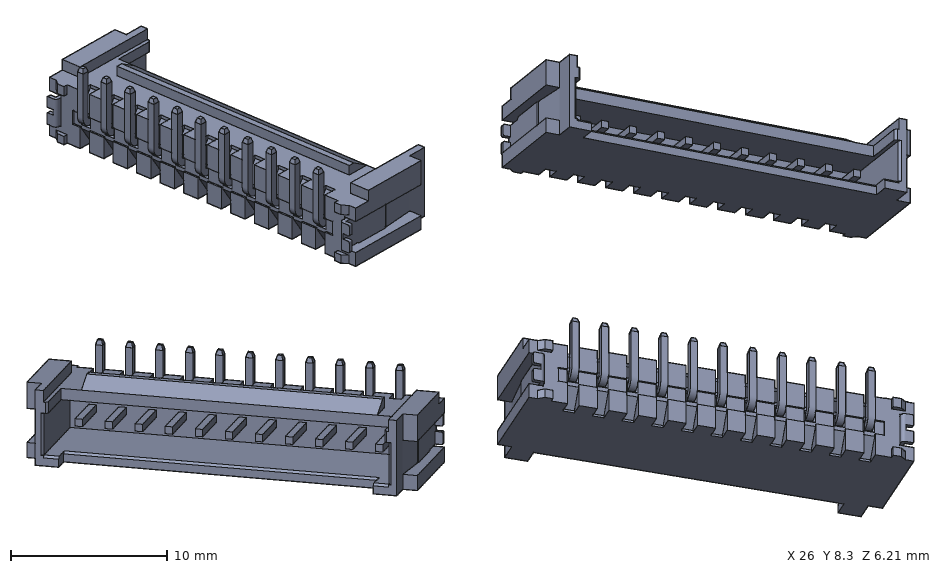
import cadquery as cq

HALF_LENGTH = 13.0
DEPTH = 7.85
ROOF_TOP = 4.3
ROOF_DEPTH = 4.7
CHEEK_HALF = 12.05
CHANNEL_HALF = 12.27
CAVITY_HALF = 11.5
CAVITY_FRONT = 1.55
CAVITY_FLOOR = 0.7
CAVITY_TOP = 3.54
MOUTH_HALF = 11.2
MOUTH_CHAMFER = 0.15
FLOOR_NOTCH_HALF = 10.48
FLOOR_NOTCH_FRONT = 6.65

RAIL_BACK = 6.4
LOWER_RAIL_TOP = 1.01
UPPER_RAIL_BOTTOM = 3.3
CAP_TOP = 5.07
CAP_FRONT = 1.25

RIDGE_HALF = 9.85
RIDGE_TOP = 5.0
RIDGE_FRONT = 3.0
RIDGE_CREST_BACK = 3.43

FOOT_OUTER = 12.43
FOOT_INNER = CAVITY_HALF
FOOT_REACH = 0.3
LOWER_FOOT_TOP = 0.62
UPPER_FOOT_BOTTOM = 3.6

GROOVE_HALF = 11.02
GROOVE_BOTTOM = 1.55
GROOVE_TOP = 2.57
GROOVE_DEPTH = 0.13
SLOT_WIDTH = 0.78
SLOT_DEPTH = 1.0
LOWER_SLOT_TOP = 1.43
UPPER_SLOT_BOTTOM = 2.73
LOWER_SLOT_STRAIGHT = 0.15
UPPER_SLOT_STRAIGHT = 0.23
FUNNEL_BOTTOM = 1.72
FUNNEL_TOP = 2.5
FUNNEL_DEPTH = 0.15

PIN_COUNT = 11
PIN_PITCH = 26 / 13
PIN_SIZE = 0.5
PIN_FRONT = -0.45
PIN_BACK = 4.78
PIN_BOTTOM = 1.87
PIN_TOP = 6.21
PIN_BEND_RADIUS = 0.73
PIN_TIP_HEIGHT = 0.3
PIN_TIP_INSET = 0.1

CLIP_THICKNESS = 0.29
CLIP_INNER = CHEEK_HALF
CLIP_FLANGE_HALF = 12.85
CLIP_BACK = 3.7
CLIP_POCKET_BACK = 3.8
CLIP_WIDE_FRONT = 1.12
CLIP_BOTTOM = 1.1
CLIP_TOP = 3.15
CLIP_BEVEL = 0.15
CLIP_NOTCH_BOTTOM = 1.95
CLIP_NOTCH_TOP = 2.35
CLIP_CORNER = 0.1
CLIP_BEND_RADIUS = 0.25


def box(x_range, y_range, z_range):
    """Axis-aligned box between the given limits."""
    (x0, x1), (y0, y1), (z0, z1) = x_range, y_range, z_range
    return cq.Workplane("XY").box(x1 - x0, y1 - y0, z1 - z0, centered=False).translate((x0, y0, z0))


def symmetric_box(half_x, y_range, z_range):
    return box((-half_x, half_x), y_range, z_range)


def extrude_along_x(points, x_center, width):
    """Prism of a (y, z) outline centred on x_center."""
    plane = cq.Workplane("YZ", origin=(x_center - width / 2, 0, 0))
    return plane.polyline(points).close().extrude(width)


def both_ends(solid):
    return solid.union(solid.mirror("YZ"))


def make_housing():
    body = symmetric_box(CHEEK_HALF, (0, DEPTH), (0, ROOF_TOP))
    end_x = (CAVITY_HALF, HALF_LENGTH)
    rails = box(end_x, (0, RAIL_BACK), (0, LOWER_RAIL_TOP))
    rails = rails.union(box(end_x, (0, RAIL_BACK), (UPPER_RAIL_BOTTOM, ROOF_TOP)))
    rails = rails.union(box(end_x, (CAP_FRONT, RAIL_BACK), (UPPER_RAIL_BOTTOM, CAP_TOP)))
    rails = rails.union(box((CAVITY_HALF, CHEEK_HALF), (CAP_FRONT, DEPTH), (0, CAP_TOP)))
    channel_floor = [
        (CHEEK_HALF, RAIL_BACK),
        (CHANNEL_HALF, CLIP_POCKET_BACK),
        (CHEEK_HALF, CLIP_POCKET_BACK),
    ]
    rails = rails.union(cq.Workplane("XY").polyline(channel_floor).close().extrude(ROOF_TOP))
    return body.union(both_ends(rails))


def make_cavity():
    """Mating cavity with its flared mouth, the open roof and the notch in the floor."""
    cavity = symmetric_box(CAVITY_HALF, (CAVITY_FRONT, DEPTH), (CAVITY_FLOOR, CAVITY_TOP))
    cavity = cavity.union(symmetric_box(MOUTH_HALF, (ROOF_DEPTH, DEPTH), (CAVITY_FLOOR, ROOF_TOP)))
    notch_y = (FLOOR_NOTCH_FRONT, DEPTH)
    cavity = cavity.union(symmetric_box(FLOOR_NOTCH_HALF, notch_y, (0, CAVITY_FLOOR)))

    def floor_flare(half_x, back):
        outline = [
            (back - MOUTH_CHAMFER, CAVITY_FLOOR),
            (back, CAVITY_FLOOR),
            (back, CAVITY_FLOOR - MOUTH_CHAMFER),
        ]
        return extrude_along_x(outline, 0, 2 * half_x)

    def side_flare(half_x, bottom, top):
        outline = [
            (half_x, DEPTH - MOUTH_CHAMFER),
            (half_x + MOUTH_CHAMFER, DEPTH),
            (half_x, DEPTH),
        ]
        flare = cq.Workplane("XY", origin=(0, 0, bottom)).polyline(outline).close().extrude(top - bottom)
        return both_ends(flare)

    cavity = cavity.union(floor_flare(CAVITY_HALF, DEPTH))
    cavity = cavity.union(floor_flare(FLOOR_NOTCH_HALF, FLOOR_NOTCH_FRONT))
    cavity = cavity.union(side_flare(CAVITY_HALF, CAVITY_FLOOR, CAVITY_TOP))
    return cavity.union(side_flare(MOUTH_HALF, CAVITY_TOP, ROOF_TOP))


def make_ridge():
    outline = [
        (RIDGE_FRONT, ROOF_TOP),
        (RIDGE_FRONT, RIDGE_TOP),
        (RIDGE_CREST_BACK, RIDGE_TOP),
        (ROOF_DEPTH, ROOF_TOP),
    ]
    return extrude_along_x(outline, 0, 2 * RIDGE_HALF)


def make_feet():
    outline = [
        (FOOT_OUTER, 0),
        (CHEEK_HALF, -FOOT_REACH),
        (FOOT_INNER, -FOOT_REACH),
        (FOOT_INNER, 0),
    ]
    lower = cq.Workplane("XY").polyline(outline).close().extrude(LOWER_FOOT_TOP)
    upper = cq.Workplane("XY", origin=(0, 0, UPPER_FOOT_BOTTOM)).polyline(outline).close()
    return both_ends(lower.union(upper.extrude(ROOF_TOP - UPPER_FOOT_BOTTOM)))


def make_slot(x):
    """Wedge-shaped reliefs above and below a pin, and the tapered entry around it."""
    front_web = extrude_along_x(
        [(0, 0), (GROOVE_DEPTH, 0), (GROOVE_DEPTH, ROOF_TOP), (0, ROOF_TOP)], x, SLOT_WIDTH
    )
    lower = [
        (0, 0),
        (SLOT_DEPTH, 0),
        (SLOT_DEPTH, LOWER_SLOT_STRAIGHT),
        (GROOVE_DEPTH, LOWER_SLOT_TOP),
        (0, LOWER_SLOT_TOP),
    ]
    upper = [
        (0, ROOF_TOP),
        (SLOT_DEPTH, ROOF_TOP),
        (SLOT_DEPTH, ROOF_TOP - UPPER_SLOT_STRAIGHT),
        (GROOVE_DEPTH, UPPER_SLOT_BOTTOM),
        (0, UPPER_SLOT_BOTTOM),
    ]
    funnel_height = FUNNEL_TOP - FUNNEL_BOTTOM
    funnel_center = (x, GROOVE_DEPTH, (FUNNEL_TOP + FUNNEL_BOTTOM) / 2)
    funnel = (
        cq.Workplane("XZ", origin=funnel_center)
        .rect(SLOT_WIDTH, funnel_height)
        .workplane(offset=-FUNNEL_DEPTH)
        .rect(PIN_SIZE, PIN_SIZE)
        .loft()
    )
    slot = front_web.union(extrude_along_x(lower, x, SLOT_WIDTH))
    return slot.union(extrude_along_x(upper, x, SLOT_WIDTH)).union(funnel)


def make_pin(x):
    """Square pin running along Y through the front wall, then bent up into its leg."""
    leg_top = PIN_TOP - PIN_TIP_HEIGHT
    outline = [
        (PIN_BACK, PIN_BOTTOM),
        (PIN_FRONT, PIN_BOTTOM),
        (PIN_FRONT, leg_top),
        (PIN_FRONT + PIN_SIZE, leg_top),
        (PIN_FRONT + PIN_SIZE, PIN_BOTTOM + PIN_SIZE),
        (PIN_BACK, PIN_BOTTOM + PIN_SIZE),
    ]
    pin = extrude_along_x(outline, x, PIN_SIZE)
    pin = pin.edges("|X and <Y and <Z").fillet(PIN_BEND_RADIUS)
    inner_corner = (x, PIN_FRONT + PIN_SIZE, PIN_BOTTOM + PIN_SIZE)
    pin = pin.edges(cq.NearestToPointSelector(inner_corner)).fillet(PIN_BEND_RADIUS - PIN_SIZE)
    tip_size = PIN_SIZE - 2 * PIN_TIP_INSET
    tip = (
        cq.Workplane("XY", origin=(x, PIN_FRONT + PIN_SIZE / 2, leg_top))
        .rect(PIN_SIZE, PIN_SIZE)
        .workplane(offset=PIN_TIP_HEIGHT)
        .rect(tip_size, tip_size)
        .loft()
    )
    return pin.union(tip)


def make_clip():
    """Sheet-metal clip let into the +X end wall, with a notched flange bent outward."""
    clip_x = (CLIP_INNER, CLIP_INNER + CLIP_THICKNESS)
    plate_outline = [
        (PIN_FRONT, CLIP_BOTTOM),
        (CLIP_WIDE_FRONT - CLIP_BEVEL, CLIP_BOTTOM),
        (CLIP_WIDE_FRONT, LOWER_RAIL_TOP),
        (CLIP_BACK, LOWER_RAIL_TOP),
        (CLIP_BACK, UPPER_RAIL_BOTTOM),
        (CLIP_WIDE_FRONT - CLIP_BEVEL, UPPER_RAIL_BOTTOM),
        (CLIP_WIDE_FRONT - 2 * CLIP_BEVEL, CLIP_TOP),
        (PIN_FRONT, CLIP_TOP),
    ]
    plate = extrude_along_x(plate_outline, sum(clip_x) / 2, CLIP_THICKNESS)
    flange_y = (PIN_FRONT, PIN_FRONT + CLIP_THICKNESS)
    flange = box((CLIP_INNER, CLIP_FLANGE_HALF), flange_y, (CLIP_BOTTOM, CLIP_TOP))
    notch = box((clip_x[1], CLIP_FLANGE_HALF), flange_y, (CLIP_NOTCH_BOTTOM, CLIP_NOTCH_TOP))
    flange = flange.cut(notch).edges("|Y and >X").fillet(CLIP_CORNER)
    return plate.union(flange).edges("|Z and <X and <Y").fillet(CLIP_BEND_RADIUS)


pin_places = [(index - (PIN_COUNT - 1) / 2) * PIN_PITCH for index in range(PIN_COUNT)]

result = make_housing().cut(make_cavity()).union(make_ridge()).union(make_feet())
result = result.cut(symmetric_box(GROOVE_HALF, (0, GROOVE_DEPTH), (GROOVE_BOTTOM, GROOVE_TOP)))
for place in pin_places:
    result = result.cut(make_slot(place))
for place in pin_places:
    result = result.union(make_pin(place))
result = result.union(both_ends(make_clip()))